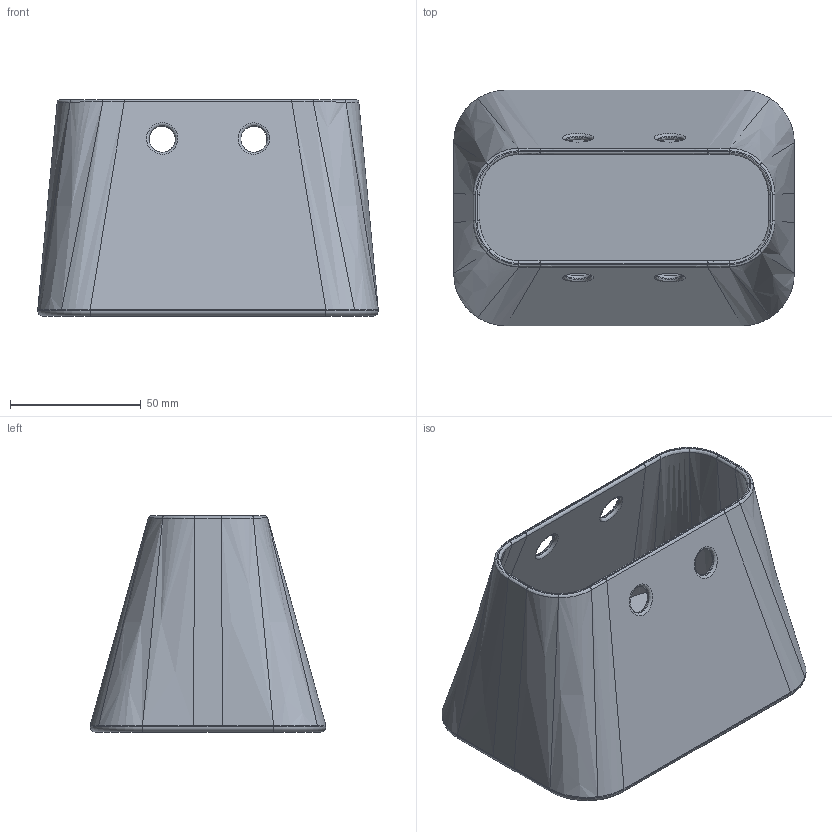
import cadquery as cq
import math

QUARTER_TURN = 90.0

BASE_LENGTH = 130.0
BASE_WIDTH = 90.0
BASE_RADIUS = 20.0
BASE_HEIGHT = 2.5
BASE_FILLET = 2.0

TOP_LENGTH = 115.0
TOP_WIDTH = 45.0
TOP_RADIUS = 17.5
TOTAL_HEIGHT = 82.5
RIM_FILLET = 1.0

WALL = 2.5

BASE_END_FLAT = 11.3
BASE_SEAM_ANGLE = 57.0
BASE_END_LINE = (BASE_WIDTH - BASE_END_FLAT) / 2 - BASE_RADIUS
BASE_END_ARC = BASE_RADIUS * math.radians(BASE_SEAM_ANGLE)
TOP_SEAM_ANGLE = QUARTER_TURN * BASE_END_LINE / (BASE_END_LINE + BASE_END_ARC)
BASE_SIDE_LINE = BASE_LENGTH / 2 - BASE_RADIUS
BASE_SIDE_ARC = BASE_RADIUS * math.radians(QUARTER_TURN - BASE_SEAM_ANGLE)
TOP_SIDE_SHARE = BASE_SIDE_LINE / (BASE_SIDE_LINE + BASE_SIDE_ARC)
TOP_SIDE_FLAT = (TOP_LENGTH - 2 * TOP_RADIUS) * TOP_SIDE_SHARE

HOLE_DIAMETER = 10.0
HOLE_SPACING = 35.0
HOLE_BELOW_TOP = 15.0
HOLE_FILLET = 1.0


def corner_point(length, width, radius, angle):
    """Point on the corner arc in the +X +Y quadrant, angle in degrees from the X axis."""
    turn = math.radians(angle)
    return (
        length / 2 - radius + radius * math.cos(turn),
        width / 2 - radius + radius * math.sin(turn),
    )


def closed_outline(corner_stretches, height):
    """Closed wire at the given height, mirrored from the stretches of its +X +Y corner.

    Each stretch is (start, end) for a line or (start, middle, end) for an arc, running
    counterclockwise. Straight edges join each corner to the next.
    """
    corners = []
    for x_sign, y_sign in ((1, 1), (-1, 1), (-1, -1), (1, -1)):
        corner = [
            [cq.Vector(x_sign * x, y_sign * y, height) for x, y in stretch]
            for stretch in corner_stretches
        ]
        if x_sign * y_sign < 0:
            corner = [stretch[::-1] for stretch in reversed(corner)]
        corners.append(corner)

    edges = []
    for index, corner in enumerate(corners):
        previous_end = corners[index - 1][-1][-1]
        edges.append(cq.Edge.makeLine(previous_end, corner[0][0]))
        for stretch in corner:
            if len(stretch) == 2:
                edges.append(cq.Edge.makeLine(*stretch))
            else:
                edges.append(cq.Edge.makeThreePointArc(*stretch))
    return cq.Wire.assembleEdges(edges)


def base_outline(inset):
    """Base of the taper: each corner is a straight stretch followed by a split arc."""
    size = (BASE_LENGTH - 2 * inset, BASE_WIDTH - 2 * inset, BASE_RADIUS - inset)
    end_start = (BASE_LENGTH / 2 - inset, BASE_END_FLAT / 2)
    arc_start = corner_point(*size, 0)
    arc_split = corner_point(*size, BASE_SEAM_ANGLE)
    arc_end = corner_point(*size, QUARTER_TURN)
    stretches = [
        (end_start, arc_start),
        (arc_start, corner_point(*size, BASE_SEAM_ANGLE / 2), arc_split),
        (arc_split, corner_point(*size, (BASE_SEAM_ANGLE + QUARTER_TURN) / 2), arc_end),
    ]
    return closed_outline(stretches, BASE_HEIGHT)


def top_outline(inset):
    """Top of the taper: each corner is a split arc followed by a straight stretch."""
    size = (TOP_LENGTH - 2 * inset, TOP_WIDTH - 2 * inset, TOP_RADIUS - inset)
    arc_start = corner_point(*size, 0)
    arc_split = corner_point(*size, TOP_SEAM_ANGLE)
    arc_end = corner_point(*size, QUARTER_TURN)
    side_end = (TOP_SIDE_FLAT / 2, TOP_WIDTH / 2 - inset)
    stretches = [
        (arc_start, corner_point(*size, TOP_SEAM_ANGLE / 2), arc_split),
        (arc_split, corner_point(*size, (TOP_SEAM_ANGLE + QUARTER_TURN) / 2), arc_end),
        (arc_end, side_end),
    ]
    return closed_outline(stretches, TOTAL_HEIGHT)


def tapered_body(inset):
    """Solid ruled from the base outline to the top outline, both shrunk by the inset."""
    return cq.Workplane(cq.Solid.makeLoft([base_outline(inset), top_outline(inset)], True))


def base_slab():
    """Floor of the part, with a rounded bottom edge."""
    block = cq.Workplane("XY").box(BASE_LENGTH, BASE_WIDTH, BASE_HEIGHT, centered=(True, True, False))
    return block.edges("|Z").fillet(BASE_RADIUS).faces("<Z").edges().fillet(BASE_FILLET)


def cross_holes(body):
    """Drill the pair of holes along Y and round their outer and inner edges."""
    hole_height = TOTAL_HEIGHT - HOLE_BELOW_TOP
    drills = (
        cq.Workplane("XZ")
        .center(0, hole_height)
        .rarray(HOLE_SPACING, 1, 2, 1)
        .circle(HOLE_DIAMETER / 2)
        .extrude(BASE_WIDTH / 2, both=True)
    )
    hole_zone = cq.selectors.BoxSelector(
        (-HOLE_SPACING, -BASE_WIDTH, hole_height - HOLE_DIAMETER),
        (HOLE_SPACING, BASE_WIDTH, hole_height + HOLE_DIAMETER),
        boundingbox=True,
    )
    return body.cut(drills).edges(hole_zone).fillet(HOLE_FILLET)


shell = tapered_body(0).cut(tapered_body(WALL))
shell = shell.faces(">Z").edges().fillet(RIM_FILLET)
result = cross_holes(base_slab().union(shell))